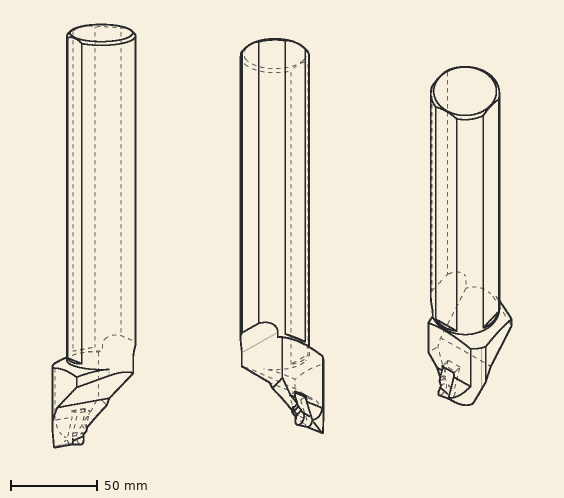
import cadquery as cq
import math

total_length = 253.99
shank_radius = 20.0
flat_distance = 18.5
top_chamfer = 1.75
flat_bottom_z = 58.7
flat_runout_drop = 0.7
flat_runout_depth = shank_radius - flat_distance

head_top_z = 56.2
head_cone_angle = math.radians(25)
head_side_x = -20.5
head_back_y = -25.0
head_face_y = 11.5
back_right_x = 11.7
back_left_x = -13.7
sweep_end_x = -16.0
sweep_center_y = -3.3
sweep_radius = 25.8
face_runout_radius = 7.0
face_runout_z = 59.5

underside_angle = math.radians(40)
underside_start_z = 53.4
underside_end_x = -8.6
blade_bend = (-13.9, 19.3)

lean = math.radians(20)
insert_radius = 4.0
insert_reach_x = -26.36
insert_top_y = 1.6
insert_bottom_y = -6.9
insert_top_z = 22.0
neck_offset = 3.1
seat_offset = 1.0
tip_x = insert_reach_x + insert_radius
tip_z = insert_radius
tip_taper = math.degrees(math.atan((insert_radius - neck_offset) / -insert_bottom_y))

slope_angle = math.radians(35)
head_slope_height = 8.7
insert_slope_height = 6.3

clear = 60.0


def blade_point(along, outward):
    """XZ point measured from the insert tip centre, along the lean and outward from it."""
    x = tip_x + along * math.sin(lean) - outward * math.cos(lean)
    z = tip_z + along * math.cos(lean) + outward * math.sin(lean)
    return (x, z)


def blade_height_at_z(z, outward):
    """Distance along the lean at which a line at the given offset reaches height z."""
    return (z - tip_z - outward * math.sin(lean)) / math.cos(lean)


def blade_height_at_x(x, outward):
    """Distance along the lean at which a line at the given offset reaches x."""
    return (x - tip_x + outward * math.cos(lean)) / math.sin(lean)


def extrude_xz(profile, y_low, y_high):
    """Solid from an XZ polygon between two Y positions."""
    return cq.Workplane("XZ", origin=(0, y_high, 0)).polyline(profile).close().extrude(y_high - y_low)


def flat_cutter():
    """Material removed by one flat, cut at +X, with a sloped run-out at its lower end."""
    outer = flat_distance + 2 * flat_runout_depth
    profile = [
        (flat_distance, flat_bottom_z),
        (flat_distance, total_length + clear),
        (outer, total_length + clear),
        (outer, flat_bottom_z - 2 * flat_runout_drop),
    ]
    return extrude_xz(profile, -clear, clear)


def make_shank():
    shank = (
        cq.Workplane("XY", origin=(0, 0, head_top_z))
        .circle(shank_radius)
        .extrude(total_length - head_top_z)
        .faces(">Z")
        .chamfer(top_chamfer)
    )
    for angle in (90, 180, 270):
        shank = shank.cut(flat_cutter().rotate((0, 0, 0), (0, 0, 1), angle))
    return shank


def head_plan():
    """Plan outline swept through the whole head height."""
    corner_angle = math.atan2(head_back_y, back_right_x)
    corner_distance = math.hypot(head_back_y, back_right_x)
    tangent_angle = corner_angle + math.acos(shank_radius / corner_distance)
    face_angle = math.asin(head_face_y / shank_radius)
    middle_angle = (tangent_angle + face_angle) / 2

    def on_shank(angle):
        return (shank_radius * math.cos(angle), shank_radius * math.sin(angle))

    sweep_end_y = sweep_center_y - math.sqrt(sweep_radius**2 - sweep_end_x**2)
    face_left_x = -math.sqrt(sweep_radius**2 - (head_face_y - sweep_center_y) ** 2)
    return (
        cq.Workplane("XY")
        .moveTo(*on_shank(face_angle))
        .threePointArc(on_shank(middle_angle), on_shank(tangent_angle))
        .lineTo(back_right_x, head_back_y)
        .lineTo(back_left_x, head_back_y)
        .lineTo(sweep_end_x, sweep_end_y)
        .threePointArc((-sweep_radius, sweep_center_y), (face_left_x, head_face_y))
        .close()
        .extrude(head_top_z)
    )


def head_side():
    """Side profile: upright wall, leaning blade with a round end, sloped underside."""
    underside_drop = (shank_radius - underside_end_x) * math.tan(underside_angle)
    bend_height = blade_height_at_x(head_side_x, neck_offset)
    return (
        cq.Workplane("XZ", origin=(0, clear, 0))
        .moveTo(head_side_x, head_top_z)
        .lineTo(*blade_point(bend_height, neck_offset))
        .lineTo(*blade_point(0, neck_offset))
        .threePointArc(blade_point(-neck_offset, 0), blade_point(0, -neck_offset))
        .threePointArc(blade_bend, (underside_end_x, underside_start_z - underside_drop))
        .lineTo(shank_radius, underside_start_z)
        .lineTo(shank_radius, head_top_z)
        .close()
        .extrude(2 * clear)
    )


def head_cap():
    """Round body whose top falls away as a cone outside the shank."""
    cone_drop = (clear - shank_radius) * math.tan(head_cone_angle)
    profile = [
        (0, 0),
        (clear, 0),
        (clear, head_top_z - cone_drop),
        (shank_radius, head_top_z),
        (0, head_top_z),
    ]
    return cq.Workplane("XZ").polyline(profile).close().revolve(360, (0, 0, 0), (0, 1, 0))


def face_cutter():
    """Clears the cutting-side face of the head and runs out of the shank in an arc."""
    outer_y = head_face_y + face_runout_radius
    arc_inset = face_runout_radius * (1 - math.sqrt(0.5))
    arc_rise = face_runout_radius * math.sqrt(0.5)
    return (
        cq.Workplane("YZ", origin=(-clear, 0, 0))
        .moveTo(head_face_y, 0)
        .lineTo(head_face_y, face_runout_z)
        .threePointArc(
            (head_face_y + arc_inset, face_runout_z + arc_rise),
            (outer_y, face_runout_z + face_runout_radius),
        )
        .lineTo(clear, face_runout_z + face_runout_radius)
        .lineTo(clear, 0)
        .close()
        .extrude(2 * clear)
    )


def slope_cutter(start_y, start_height, end_y):
    """Removes the cutting side of the blade below a slope that falls from start_y to end_y."""
    fall = 1 / math.tan(slope_angle)
    profile = [
        (end_y, start_height - (start_y - end_y) * fall),
        (clear, start_height + (clear - start_y) * fall),
        (clear, -clear),
        (end_y, -clear),
    ]
    plane = cq.Plane(
        origin=(tip_x, 0, tip_z),
        xDir=(0, 1, 0),
        normal=(math.cos(lean), 0, -math.sin(lean)),
    )
    return cq.Workplane(plane).polyline(profile).close().extrude(clear, both=True)


def insert_blank():
    """Leaning bar with a round, tapered tip, before the sloped end is cut."""
    bar_profile = [
        blade_point(0, neck_offset),
        blade_point(blade_height_at_z(insert_top_z, neck_offset), neck_offset),
        blade_point(blade_height_at_z(insert_top_z, -seat_offset), -seat_offset),
        blade_point(0, -seat_offset),
    ]
    bar = extrude_xz(bar_profile, insert_bottom_y, insert_top_y)
    tip = (
        cq.Workplane("XZ")
        .center(tip_x, tip_z)
        .circle(insert_radius)
        .extrude(-insert_bottom_y, taper=tip_taper)
    )
    return bar.union(tip)


def seat_opening():
    """Opens the seat through the upright wall above the insert."""
    profile = [
        blade_point(0, neck_offset),
        blade_point(blade_height_at_z(insert_top_z, neck_offset), neck_offset),
        (insert_reach_x, insert_top_z),
        (insert_reach_x, tip_z),
    ]
    return extrude_xz(profile, insert_bottom_y, insert_top_y)


insert_slope = slope_cutter(insert_top_y, insert_slope_height, 0)
head_slope = slope_cutter(insert_top_y, head_slope_height, insert_top_y)

head = head_plan().intersect(head_side()).intersect(head_cap())
holder = (
    make_shank()
    .union(head)
    .cut(face_cutter())
    .cut(head_slope)
    .cut(insert_slope)
    .cut(seat_opening())
    .cut(insert_blank())
)
insert = insert_blank().cut(insert_slope)

result = cq.Compound.makeCompound([*holder.solids().vals(), *insert.solids().vals()])